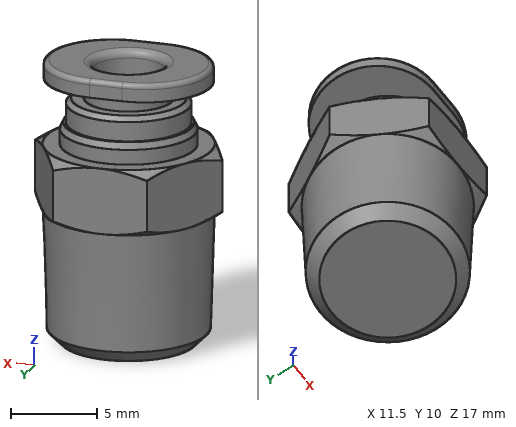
import cadquery as cq
import math

total_height = 17.0
lead_in = 0.8
hex_bottom = 8.0
hex_top = 12.0
shoulder_top = 13.31
collar_top = 14.79
flange_bottom = 15.91

across_flats = 10.0
across_corners = across_flats / math.cos(math.radians(30))
hex_chamfer_angle = math.radians(30)

stem_diameter = 9.54
taper = 1 / 16

shoulder_diameter = 8.0
shoulder_chamfer_height = 0.4
shoulder_chamfer_width = 0.2
collar_diameter = 7.31
collar_chamfer = 0.3
neck_diameter = 5.24
neck_fillet = 0.1

flange_length = across_flats
flange_width = shoulder_diameter
flange_round = 0.3
bore_diameter = 4.2
bore_round = 0.5
bore_floor = hex_bottom


def revolve(profile):
    """Revolve a closed (radius, height) outline about the Z axis."""
    return cq.Workplane("XZ").polyline(profile).close().revolve(360, (0, 0), (0, 1))


def make_stem():
    radius = stem_diameter / 2
    top_radius = radius + (hex_bottom - lead_in) * taper / 2
    return revolve([
        (0, 0),
        (radius - lead_in, 0),
        (radius, lead_in),
        (top_radius, hex_bottom),
        (0, hex_bottom),
    ])


def make_hexagon():
    prism = (
        cq.Workplane("XY")
        .workplane(offset=hex_bottom)
        .polygon(6, across_corners)
        .extrude(hex_top - hex_bottom)
    )
    face_radius = across_flats / 2
    mid_height = (hex_bottom + hex_top) / 2
    mid_radius = face_radius + (hex_top - mid_height) / math.tan(hex_chamfer_angle)
    double_cone = revolve([
        (0, hex_bottom),
        (face_radius, hex_bottom),
        (mid_radius, mid_height),
        (face_radius, hex_top),
        (0, hex_top),
    ])
    return prism.intersect(double_cone)


def make_steps():
    shoulder_radius = shoulder_diameter / 2
    collar_radius = collar_diameter / 2
    neck_radius = neck_diameter / 2
    profile = (
        cq.Workplane("XZ")
        .moveTo(0, hex_top)
        .lineTo(shoulder_radius, hex_top)
        .lineTo(shoulder_radius, shoulder_top - shoulder_chamfer_height)
        .lineTo(shoulder_radius - shoulder_chamfer_width, shoulder_top)
        .lineTo(collar_radius, shoulder_top)
        .lineTo(collar_radius, collar_top - collar_chamfer)
        .lineTo(collar_radius - collar_chamfer, collar_top)
        .lineTo(neck_radius, collar_top)
        .lineTo(neck_radius, flange_bottom - neck_fillet)
        .radiusArc((neck_radius + neck_fillet, flange_bottom), neck_fillet)
        .lineTo(0, flange_bottom)
        .close()
    )
    return profile.revolve(360, (0, 0), (0, 1))


def make_flange():
    return (
        cq.Workplane("XY")
        .workplane(offset=flange_bottom)
        .slot2D(flange_length, flange_width)
        .extrude(total_height - flange_bottom)
        .faces(">Z")
        .edges()
        .fillet(flange_round)
    )


def cut_bore(body):
    depth = total_height - bore_floor
    bored = body.cut(
        cq.Workplane("XY").workplane(offset=bore_floor).circle(bore_diameter / 2).extrude(depth)
    )
    mouth = cq.selectors.RadiusNthSelector(0)
    return bored.faces(">Z").edges("%CIRCLE").edges(mouth).fillet(bore_round)


solid_body = make_stem().union(make_hexagon()).union(make_steps()).union(make_flange())
result = cut_bore(solid_body)